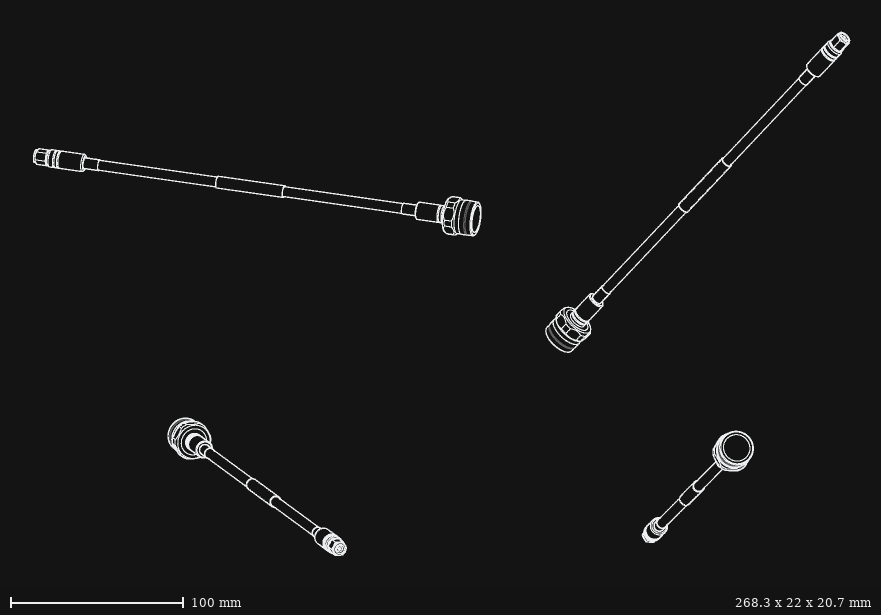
import cadquery as cq
import math

overall_length = 268.3

cable_radius = 3.0
sleeve_radius = 3.2
sleeve_length = 8.9
label_radius = 3.5
label_start = 110.8
label_length = 40.5

body_radius = 5.0
groove_width = 0.8
groove_depth = 0.13
groove_pitch = 2.5

plug_hex_flats = 8.0
plug_nut_length = 7.5
plug_lip_radius = 3.8
plug_lip_length = 1.0
plug_hex_chamfer_length = 0.5
plug_bore_radius = 2.0
plug_bore_chamfer = 0.8
plug_bore_depth = 3.2
contact_radius = 0.5
plug_body_end = 30.0
plug_collar_radius = 4.5
plug_collar_length = 0.8
plug_front_chamfer_length = 1.0
plug_rear_chamfer_length = 0.8
plug_rear_chamfer_height = 0.8
plug_first_groove = 12.0

jack_body_start = 232.5
jack_chamfer = 0.5
jack_core_radius = 7.8
jack_first_groove = 246.0
nut_start = 251.0
nut_hex_flats = 20.7
nut_corner_radius = 11.0
nut_face_radius = 10.0
nut_rear_chamfer = 1.5
nut_front_chamfer = 1.3
nut_hex_length = 7.2
nut_barrel_radius = 10.0
nut_band_height = 0.13
nut_band_radius = nut_barrel_radius + nut_band_height
nut_band_start = 260.8
nut_band_end = 264.0
nut_band_slope_length = 0.8
nut_end_chamfer = 0.5


def turned(profile):
    """Solid of revolution about the X axis from (x, radius) points; the axis closes the outline."""
    first_x = profile[0][0]
    last_x = profile[-1][0]
    points = [(first_x, 0), *profile, (last_x, 0)]
    return cq.Workplane("XZ").polyline(points).close().revolve(360, (0, 0), (1, 0))


def rod(start, length, radius):
    return turned([(start, radius), (start + length, radius)])


def tube(start, length, outer_radius, inner_radius):
    return rod(start, length, outer_radius).cut(rod(start, length, inner_radius))


def hexagon_bar(start, length, across_flats):
    """Hexagonal bar along X with flats facing +Z and -Z."""
    across_corners = across_flats / math.cos(math.pi / 6)
    return cq.Workplane("YZ", origin=(start, 0, 0)).polygon(6, across_corners).extrude(length)


def cut_groove_pair(body, first_start):
    """Two shallow ring grooves side by side in a connector body."""
    for index in range(2):
        start = first_start + index * groove_pitch
        body = body.cut(tube(start, groove_width, body_radius, body_radius - groove_depth))
    return body


def make_cable():
    return rod(plug_body_end, jack_body_start - plug_body_end, cable_radius)


def make_sleeve(start):
    return tube(start, sleeve_length, sleeve_radius, cable_radius)


def make_label():
    return tube(label_start, label_length, label_radius, cable_radius)


def make_plug_nut():
    """Hexagonal nut with a round lip in front and a chamfered bore that clears the contact."""
    lip = rod(0, plug_lip_length, plug_lip_radius)
    corner_radius = plug_hex_flats / 2 / math.cos(math.pi / 6)
    hex_envelope = turned([
        (plug_lip_length, plug_hex_flats / 2),
        (plug_lip_length + plug_hex_chamfer_length, corner_radius),
        (plug_nut_length, corner_radius),
    ])
    hex_length = plug_nut_length - plug_lip_length
    hexagon = hexagon_bar(plug_lip_length, hex_length, plug_hex_flats).intersect(hex_envelope)
    bore = turned([
        (0, plug_bore_radius + plug_bore_chamfer),
        (plug_bore_chamfer, plug_bore_radius),
        (plug_bore_depth, plug_bore_radius),
    ])
    return lip.union(hexagon).cut(bore)


def make_contact():
    """Centre pin that stands on the floor of the plug nut's bore."""
    return rod(0, plug_bore_depth, contact_radius)


def make_plug_body():
    collar_end = plug_nut_length + plug_collar_length
    body = turned([
        (plug_nut_length, plug_collar_radius),
        (collar_end, plug_collar_radius),
        (collar_end + plug_front_chamfer_length, body_radius),
        (plug_body_end - plug_rear_chamfer_length, body_radius),
        (plug_body_end, body_radius - plug_rear_chamfer_height),
    ])
    return cut_groove_pair(body, plug_first_groove)


def make_jack_body():
    body = turned([
        (jack_body_start, body_radius - jack_chamfer),
        (jack_body_start + jack_chamfer, body_radius),
        (nut_start, body_radius),
        (nut_start, jack_core_radius),
        (overall_length, jack_core_radius),
    ])
    return cut_groove_pair(body, jack_first_groove)


def make_coupling_nut():
    hex_end = nut_start + nut_hex_length
    hex_envelope = turned([
        (nut_start, nut_face_radius),
        (nut_start + nut_rear_chamfer, nut_corner_radius),
        (hex_end - nut_front_chamfer, nut_corner_radius),
        (hex_end, nut_barrel_radius),
    ])
    hexagon = hexagon_bar(nut_start, nut_hex_length, nut_hex_flats).intersect(hex_envelope)
    barrel = turned([
        (hex_end, nut_barrel_radius),
        (nut_band_start, nut_barrel_radius),
        (nut_band_start, nut_band_radius),
        (nut_band_end, nut_band_radius),
        (nut_band_end + nut_band_slope_length, nut_barrel_radius),
        (overall_length - nut_end_chamfer, nut_barrel_radius),
        (overall_length, nut_barrel_radius - nut_end_chamfer),
    ])
    core = rod(nut_start, overall_length - nut_start, jack_core_radius)
    return hexagon.union(barrel).cut(core)


sleeves = [make_sleeve(start) for start in (plug_body_end, jack_body_start - sleeve_length)]

result = cq.Compound.makeCompound([
    make_cable().val(),
    *[sleeve.val() for sleeve in sleeves],
    make_label().val(),
    make_plug_nut().val(),
    make_contact().val(),
    make_plug_body().val(),
    make_jack_body().val(),
    make_coupling_nut().val(),
])